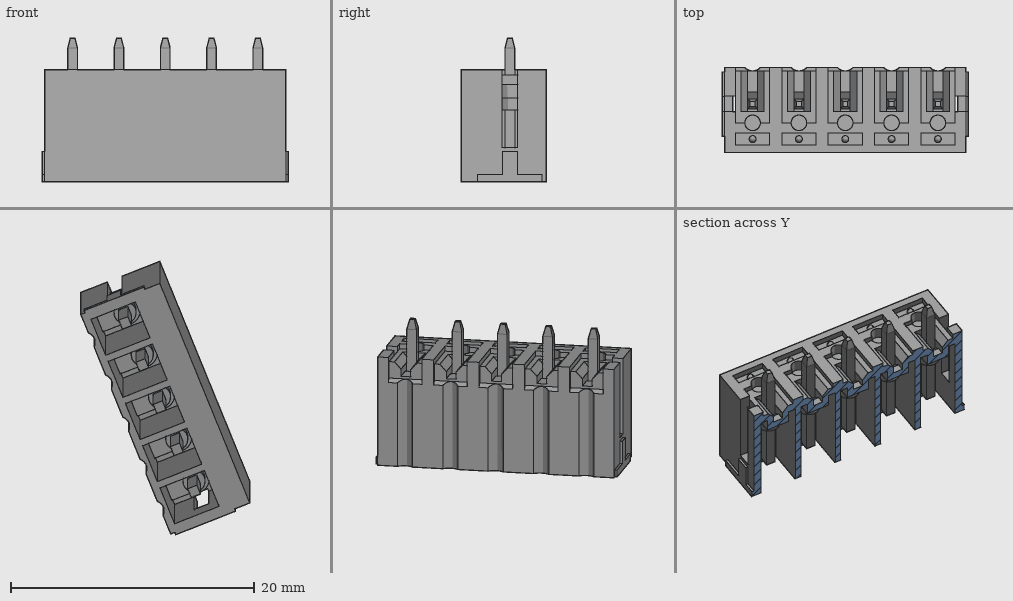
import cadquery as cq

overall_width = 20.25
body_width = 19.84
body_depth = 7.0
body_height = 9.2

contact_count = 5
pitch = 3.8
contact_xs = [(i - (contact_count - 1) / 2) * pitch for i in range(contact_count)]
pin_y = 4.0

pin_size = 0.8
pin_bottom = 1.62
pin_top = 11.8
tip_height = 0.79
tip_size = 0.4

recess_width = 2.81
recess_front = 2.45
recess_depth = 0.43
recess_floor = body_height - recess_depth

ledge_depth = 0.3
ledge_top = 7.39
ledge_drop = 0.3
ledge_front = body_depth - ledge_depth

flare_width = 1.9
flare_drop = 0.59
throat_top = recess_floor - flare_drop
slot_front = 3.4
slot_floor = 7.6
ramp_start = 4.98
ramp_end = pin_y + pin_size / 2
ramp_drop = 0.45

hole_diameter = 1.28
hole_depth = 1.01

window_front = 0.63
window_length = 0.97
window_depth = 0.5
dome_radius = 0.28

groove_radius = 0.87
groove_depth = 0.28

cavity_width = 3.24
cavity_front = recess_front
cavity_back = 6.38
cavity_roof = 8.0

collar_radius = 1.25
collar_bottom = 6.9
barrel_radius = 0.91
barrel_bottom = 5.89

rib_width = 2.02

end_slot_width = 1.28
end_slot_floor = 2.81
end_slot_inner = contact_xs[-1] + recess_width / 2

key_thickness = (overall_width - body_width) / 2
key_foot_front = 1.34
key_foot_length = 5.3
key_foot_height = 0.6
key_stem_width = 1.21
key_height = 2.5


def box(x_center, width, y_min, y_max, z_min, z_max):
    """Box centred on x_center, spanning the given Y and Z ranges."""
    size = (width, y_max - y_min, z_max - z_min)
    return cq.Workplane("XY").box(*size, centered=(True, False, False)).translate((x_center, y_min, z_min))


def cylinder(x, y, radius, z_min, z_max):
    return cq.Workplane("XY").center(x, y).circle(radius).extrude(z_max - z_min).translate((0, 0, z_min))


def cavity(x):
    return box(x, cavity_width, cavity_front, cavity_back, 0, cavity_roof)


def barrel(x):
    """Stepped barrel, with a rib behind it that carries the floor of the flared slot."""
    collar = cylinder(x, pin_y, collar_radius, collar_bottom, throat_top)
    neck = cylinder(x, pin_y, barrel_radius, barrel_bottom, collar_bottom)
    rib = box(x, rib_width, pin_y, ledge_front, collar_bottom, cavity_roof)
    return collar.union(neck).union(rib)


def back_ledge(x):
    """Space above the sloping ledge at the back of the recess."""
    profile = [
        (ledge_front, ledge_top),
        (body_depth, ledge_top - ledge_drop),
        (body_depth, body_height),
        (ledge_front, body_height),
    ]
    start = x - recess_width / 2
    return cq.Workplane("YZ", origin=(start, 0, 0)).polyline(profile).close().extrude(recess_width)


def flared_slot(x):
    """Slot with a flared mouth and a floor that ramps down to the pin."""
    half_mouth = flare_width / 2
    half_throat = pin_size / 2
    section = [
        (x - half_mouth, recess_floor),
        (x - half_throat, throat_top),
        (x - half_throat, slot_floor),
        (x + half_throat, slot_floor),
        (x + half_throat, throat_top),
        (x + half_mouth, recess_floor),
    ]
    length = body_depth - slot_front
    slot = cq.Workplane("XZ", origin=(0, body_depth, 0)).polyline(section).close().extrude(length)
    ramp_section = [
        (ramp_start, slot_floor),
        (ramp_end, slot_floor - ramp_drop),
        (pin_y, slot_floor - ramp_drop),
        (pin_y, slot_floor),
    ]
    ramp = cq.Workplane("YZ", origin=(x - half_throat, 0, 0)).polyline(ramp_section).close().extrude(pin_size)
    return slot.union(ramp)


def pin(x):
    """Square pin with a tapered tip."""
    half = pin_size / 2
    shoulder = pin_top - tip_height
    shank = box(x, pin_size, pin_y - half, pin_y + half, pin_bottom, shoulder)
    tip = (
        cq.Workplane("XY", origin=(x, pin_y, shoulder))
        .rect(pin_size, pin_size)
        .workplane(offset=tip_height)
        .rect(tip_size, tip_size)
        .loft(ruled=True)
    )
    return shank.union(tip)


def window(x):
    """Shallow pocket, leaving the dome standing on its floor."""
    floor = body_height - window_depth
    pocket = box(x, recess_width, window_front, window_front + window_length, floor, body_height)
    dome = cq.Workplane("XY").sphere(dome_radius).translate((x, window_front + window_length / 2, floor))
    return pocket.cut(dome)


def end_slot(side):
    outer = overall_width / 2
    width = outer - end_slot_inner
    half = end_slot_width / 2
    x = side * (outer + end_slot_inner) / 2
    return box(x, width, pin_y - half, pin_y + half, end_slot_floor, body_height)


def end_key(side):
    x = side * (body_width + key_thickness) / 2
    half = key_stem_width / 2
    foot = box(x, key_thickness, key_foot_front, key_foot_front + key_foot_length, 0, key_foot_height)
    return foot.union(box(x, key_thickness, pin_y - half, pin_y + half, 0, key_height))


result = box(0, body_width, 0, body_depth, 0, body_height)

groove_y = body_depth + groove_radius - groove_depth
for x in contact_xs:
    result = result.cut(cavity(x)).union(barrel(x))
    result = result.cut(box(x, recess_width, recess_front, body_depth, recess_floor, body_height))
    result = result.cut(back_ledge(x))
    result = result.cut(flared_slot(x))
    result = result.cut(cylinder(x, recess_front, hole_diameter / 2, body_height - hole_depth, body_height))
    result = result.cut(cylinder(x, groove_y, groove_radius, 0, body_height))
    result = result.cut(window(x))

for side in (-1, 1):
    result = result.cut(end_slot(side)).union(end_key(side))

for x in contact_xs:
    result = result.union(pin(x))